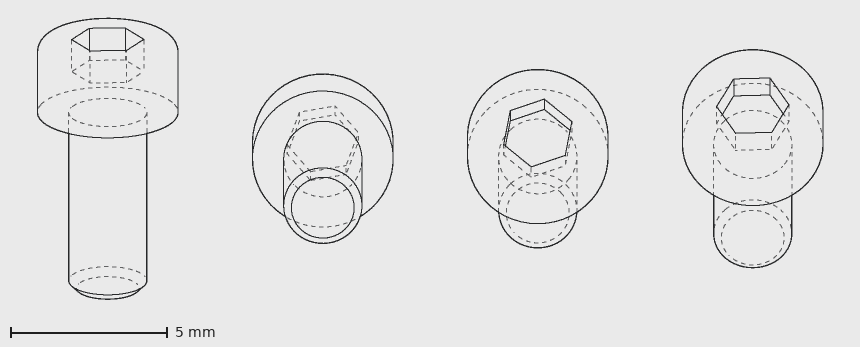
import cadquery as cq
import math

total_length = 8.5
head_diameter = 4.5
head_height = 2.5
head_fillet = 0.45
shank_diameter = 2.5
shank_length = total_length - head_height
tip_chamfer = 0.25
hex_across_flats = 2.0
hex_across_corners = hex_across_flats / math.cos(math.pi / 6)
hex_depth = 1.1

head = cq.Workplane("XY").circle(head_diameter / 2).extrude(head_height)
head = head.faces(">Z").edges().fillet(head_fillet)

shank = cq.Workplane("XY").circle(shank_diameter / 2).extrude(-shank_length)
shank = shank.faces("<Z").edges().chamfer(tip_chamfer)

socket = (
    cq.Workplane("XY")
    .workplane(offset=head_height - hex_depth)
    .polygon(6, hex_across_corners)
    .extrude(hex_depth)
)

result = head.union(shank).cut(socket)